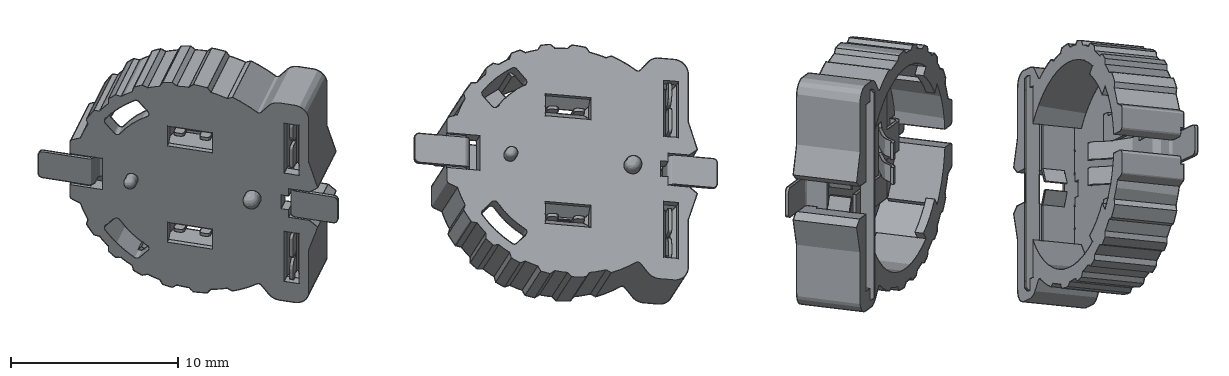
import cadquery as cq
import math


depth = 4.1
crest_radius = 7.45
valley_radius = 7.2
foot_angle = 54.6
tooth_crests = [
    (149.7, 143.2),
    (132.8, 128.4),
    (118.0, 113.4),
    (103.1, 98.5),
    (88.4, 81.5),
    (69.2, foot_angle),
]
flank_angle = 2.0
block_corner_z = 2.08
block_valley_angle = 161.0
block_round = 0.22
shoulder_slope = 50.0
shoulder_height = 7.09
shoulder_round = 0.9
foot_round = 0.19
right_face = 7.38
nose_start_z = 3.15
nose_tip = (7.95, 1.41)
nose_end = (7.44, 1.02)

floor = 0.9
cavity_radius = 6.3
chamber_start_x = 5.2
chamber_half_length = 5.85
rib_x = (5.58, 5.8)
rib_y = (3.48, depth + 0.26)
rib_half_length = 6.58
rib_chamfer = 0.15

lug_angle = 132.2
lug_inner_radius = 5.71
lug_thickness = 0.55
lug_half_width = 1.2
arc_slot_radii = (5.34, 6.6)
arc_slot_half_width = 1.41
arc_slot_round = 0.22

window_center = (0, 3.46)
window_size = (2.8, 1.41)
window_inner_size = (2.29, 0.26)
side_slot_center = (6.32, 3.89)
side_slot_size = (0.93, 3.59)
side_slot_inner_size = (0.3, 2.95)

left_gap_half_width = 0.58
left_gap_round = 0.28
left_recess_half_width = 1.12
left_recess_end = -5.43
right_notch_half_width = 1.02
right_notch_start = 6.14
spring_hole_half_width = 0.493
spring_hole_start = 5.67

pin_length = 0.8
pins = [(-3.59, 0.75, 0.32), (3.92, 1.0, 0.418)]

sheet = 0.2
tab_half_width = 0.93
tab_corner = 0.28
tab_left_end = -9.43
tab_right_end = 9.17

step_x = -6.08
step_top = 1.23
step_foot_bend = 0.28
step_top_bend = 0.33
finger_bend = 0.55
finger_knee = (-1.77, 1.93)
finger_top = (-0.97, 2.77)
finger_tip = (-0.5, 3.0)
finger_outer_z = 1.3
finger_gap = 0.48
frame_x = (-3.9, 1.13)
frame_inner_z = 1.67
frame_outer_z = 3.35
frame_bridge = 0.93
frame_prong_x = (0.48, 1.13)
frame_prong_end = 0.33
frame_prong_round = 0.22

plate_x = 6.18
plate_bend = 0.33
neck_top = 1.56
plate_top = 2.98
plate_half_length = 5.73
wing_start_z = 1.12
arm_tip = (5.77, 0.26)
plate_prong_end = 0.07
inner_prong_z = (2.44, 4.0)
inner_prong_round = 0.19
outer_prong_z = (4.17, 5.35)
outer_prong_round = 0.65
hook_z = 5.65
hook_height = 0.46
hook_round = 0.28


def polar(radius, angle):
    """Point (x, z) at an angle in degrees around the cell axis."""
    return (radius * math.cos(math.radians(angle)), radius * math.sin(math.radians(angle)))


def front_plane(y=0.0):
    """Sketch plane with local axes X and Z; its normal points toward -Y."""
    return cq.Workplane(cq.Plane(origin=(0, y, 0), xDir=(1, 0, 0), normal=(0, -1, 0)))


def prism(sketch, length):
    """Solid that extends from a front-plane sketch toward +Y."""
    return sketch.extrude(-length)


def block(x_range, y_range, z_range):
    """Box between the given limits."""
    sizes = [high - low for low, high in (x_range, y_range, z_range)]
    corner = (x_range[0], y_range[0], z_range[0])
    return cq.Workplane("XY").box(*sizes, centered=False).translate(corner)


def both_sides(body):
    """Body together with its mirror image below the middle plane Z = 0."""
    return body.union(body.mirror("XY"))


def arc_to(sketch, radius, start, end):
    """Arc around the cell axis from the start angle to the end angle."""
    return sketch.threePointArc(polar(radius, (start + end) / 2), polar(radius, end))


def upper_body():
    """Upper half of the solid housing body, bounded by Z = 0."""
    foot_x, foot_z = polar(crest_radius, foot_angle)
    shoulder_x = foot_x + (shoulder_height - foot_z) / math.tan(math.radians(shoulder_slope))

    sketch = front_plane().moveTo(-crest_radius, 0).lineTo(-crest_radius, block_corner_z)
    valley_start = block_valley_angle
    for crest_start, crest_end in tooth_crests:
        sketch = sketch.lineTo(*polar(valley_radius, valley_start))
        sketch = arc_to(sketch, valley_radius, valley_start, crest_start + flank_angle)
        sketch = sketch.lineTo(*polar(crest_radius, crest_start))
        sketch = arc_to(sketch, crest_radius, crest_start, crest_end)
        valley_start = crest_end - flank_angle
    sketch = sketch.lineTo(shoulder_x, shoulder_height)
    sketch = sketch.lineTo(right_face, shoulder_height).lineTo(right_face, nose_start_z)
    sketch = sketch.lineTo(*nose_tip).lineTo(*nose_end).lineTo(nose_end[0], 0).close()
    body = prism(sketch, depth)

    def round_edge(solid, x, z, radius):
        return solid.edges(cq.selectors.NearestToPointSelector((x, depth / 2, z))).fillet(radius)

    body = round_edge(body, -crest_radius, block_corner_z, block_round)
    body = round_edge(body, foot_x, foot_z, foot_round)
    body = round_edge(body, shoulder_x, shoulder_height, shoulder_round)
    return round_edge(body, right_face, shoulder_height, shoulder_round)


def ring(inner_radius, outer_radius, y, length):
    return prism(front_plane(y).circle(outer_radius).circle(inner_radius), length)


def radial_bar(half_width, y, length):
    """Bar from the axis outward along the lug direction."""
    bar = block((0, crest_radius), (y, y + length), (-half_width, half_width))
    return bar.rotate((0, 0, 0), (0, 1, 0), -lug_angle)


def arc_slot():
    """Slot through the floor, with a relief as wide as the lug that goes on to the lug."""
    slot = ring(*arc_slot_radii, 0, floor).intersect(radial_bar(arc_slot_half_width, 0, floor))
    slot = slot.edges("|Y").fillet(arc_slot_round)
    relief_depth = depth - lug_thickness - floor
    relief = ring(*arc_slot_radii, floor, relief_depth)
    return slot.union(relief.intersect(radial_bar(lug_half_width, floor, relief_depth)))


def lug():
    y = depth - lug_thickness
    arc = ring(lug_inner_radius, arc_slot_radii[1], y, lug_thickness)
    return arc.intersect(radial_bar(lug_half_width, y, lug_thickness))


def tapered_opening(center, size, inner_size):
    """Opening through the floor whose straight walls end in 45 degree slopes toward the inside."""

    def funnel(plane, middle, width, inner_width):
        slope = (width - inner_width) / 2
        outline = [
            (middle - width / 2, 0),
            (middle - width / 2, floor - slope),
            (middle - inner_width / 2, floor),
            (middle + inner_width / 2, floor),
            (middle + width / 2, floor - slope),
            (middle + width / 2, 0),
        ]
        return cq.Workplane(plane).polyline(outline).close().extrude(crest_radius, both=True)

    along_x = funnel("XY", center[0], size[0], inner_size[0])
    along_z = funnel("ZY", center[1], size[1], inner_size[1])
    return along_x.intersect(along_z)


def left_opening():
    """Recess under the tab, hole through the floor and gap through the wall."""
    half = left_recess_half_width
    recess = block((-crest_radius, left_recess_end), (0, sheet), (-half, half))
    hole = block((-crest_radius, left_recess_end), (0, floor), (-half, half))
    hole = hole.intersect(prism(front_plane().circle(cavity_radius), floor))
    gap_z = (-left_gap_half_width, left_gap_half_width)
    gap = block((-crest_radius, left_recess_end), (0, depth), gap_z)
    return recess.union(hole).union(gap)


def right_opening():
    notch_z = (-right_notch_half_width, right_notch_half_width)
    hole_z = (-spring_hole_half_width, spring_hole_half_width)
    notch = block((right_notch_start, nose_tip[0]), (0, depth), notch_z)
    return notch.union(block((spring_hole_start, right_notch_start), (0, depth), hole_z))


def make_housing():
    body = both_sides(upper_body())
    body = body.cut(prism(front_plane(floor).circle(cavity_radius), depth))
    chamber_z = (-chamber_half_length, chamber_half_length)
    body = body.cut(block((chamber_start_x, plate_x + sheet), (floor, depth), chamber_z))
    body = body.cut(both_sides(arc_slot())).union(both_sides(lug()))
    body = body.cut(both_sides(tapered_opening(window_center, window_size, window_inner_size)))
    body = body.cut(both_sides(tapered_opening(side_slot_center, side_slot_size, side_slot_inner_size)))
    body = body.cut(left_opening()).cut(right_opening())
    margin = left_gap_round / 2
    gap_edges = cq.selectors.BoxSelector(
        (-crest_radius - margin, 0, -left_gap_half_width - margin),
        (-crest_radius + margin, depth, left_gap_half_width + margin),
    )
    body = body.edges("|Y").edges(gap_edges).fillet(left_gap_round)

    rib = block(rib_x, rib_y, (-rib_half_length, rib_half_length))
    body = body.union(rib.faces(">Y").edges("|X").chamfer(rib_chamfer))
    for x, diameter, tip_round in pins:
        pin = front_plane().center(x, 0).circle(diameter / 2).extrude(pin_length)
        body = body.union(pin.faces("<Y").edges().fillet(tip_round))
    return body


def bent_path(points, bend_radii):
    """Open path in the XY plane through the points, with a bend at each inner corner."""
    path = cq.Workplane("XY").moveTo(*points[0])
    for before, corner, after, radius in zip(points, points[1:], points[2:], bend_radii):
        corner = cq.Vector(*corner)
        inward = (cq.Vector(*before) - corner).normalized()
        outward = (cq.Vector(*after) - corner).normalized()
        half_angle = inward.getAngle(outward) / 2
        setback = radius / math.tan(half_angle)
        start = corner + inward * setback
        end = corner + outward * setback
        path = path.lineTo(start.x, start.y).tangentArcPoint((end.x, end.y), relative=False)
    return path.lineTo(*points[-1])


def sheet_along(path, start, half_width):
    """Sheet metal strip that follows a path starting at an X position."""
    profile = cq.Workplane("YZ", origin=(start, 0, 0)).center(sheet / 2, 0)
    return profile.rect(sheet, 2 * half_width).sweep(path)


def round_tab(contact, end):
    """Round the two corners at the free end of a solder tab."""
    return contact.faces(end).edges("|Y").fillet(tab_corner)


def make_bottom_contact():
    """Tab that steps up over the floor to two rising fingers and a frame with prongs in the windows."""
    start = frame_x[0]
    bridge_end = start + frame_bridge
    points = [
        (tab_left_end, sheet / 2),
        (step_x, sheet / 2),
        (step_x, step_top),
        (bridge_end, step_top),
        finger_knee,
    ]
    path = bent_path(points, [step_foot_bend, step_top_bend, finger_bend])
    path = path.tangentArcPoint(finger_top, relative=False).tangentArcPoint(finger_tip, relative=False)
    strip = sheet_along(path, tab_left_end, finger_outer_z)

    stem = block((tab_left_end, start), (0, depth), (-tab_half_width, tab_half_width))
    fingers = block((start, 0), (0, depth), (-finger_outer_z, finger_outer_z))
    gap = block((bridge_end, 0), (0, depth), (-finger_gap / 2, finger_gap / 2))
    contact = round_tab(strip.intersect(stem.union(fingers)).cut(gap), "<X")

    frame_y = (step_top - sheet / 2, step_top + sheet / 2)
    bridge = block((start, bridge_end), frame_y, (0, frame_outer_z))
    frame = bridge.union(block(frame_x, frame_y, (frame_inner_z, frame_outer_z)))
    near, far = frame_prong_x
    for prong_x in [(near, far), (-far, -near)]:
        prong = block(prong_x, (frame_prong_end, frame_y[1]), (frame_outer_z, frame_outer_z + sheet))
        frame = frame.union(prong.faces("<Y").edges("|Z").fillet(frame_prong_round))
    return contact.union(both_sides(frame))


def make_side_contact():
    """Tab bent up into a plate whose two spring arms lean toward the cell."""
    middle = plate_x + sheet / 2
    path = bent_path([(tab_right_end, sheet / 2), (middle, sheet / 2), (middle, neck_top)], [plate_bend])
    contact = round_tab(sheet_along(path, tab_right_end, tab_half_width), ">X")

    plate_range = (plate_x, plate_x + sheet)
    plate_z = (-plate_half_length, plate_half_length)
    contact = contact.union(block(plate_range, (floor, neck_top), plate_z))
    wing = block(plate_range, (floor, plate_top), (wing_start_z, plate_half_length))
    tip_x, tip_z = arm_tip
    arm = front_plane(neck_top).polyline([
        (plate_x, wing_start_z),
        (tip_x, tip_z),
        (tip_x + sheet, tip_z),
        (plate_x + sheet, wing_start_z),
    ]).close()
    wing = wing.union(prism(arm, plate_top - neck_top))

    inner_prong = block(plate_range, (plate_prong_end, plate_top), inner_prong_z)
    inner_prong = inner_prong.faces("<Y").edges("|X").fillet(inner_prong_round)
    outer_prong = block(plate_range, (plate_prong_end, plate_top), outer_prong_z)
    outer_prong = outer_prong.faces("<Y").edges("|X and <Z").fillet(outer_prong_round)
    hook_y = (plate_prong_end, plate_prong_end + hook_height)
    hook = block(plate_range, hook_y, (outer_prong_z[1] - hook_round, hook_z))
    hook = hook.faces("<Y").edges("|X and >Z").fillet(hook_round)
    wing = wing.union(inner_prong).union(outer_prong).union(hook)
    return contact.union(both_sides(wing))


bottom_contact = make_bottom_contact()
side_contact = make_side_contact()
housing = make_housing().cut(bottom_contact)
bodies = [housing, bottom_contact, side_contact]
result = cq.Compound.makeCompound([body.solids().val() for body in bodies])